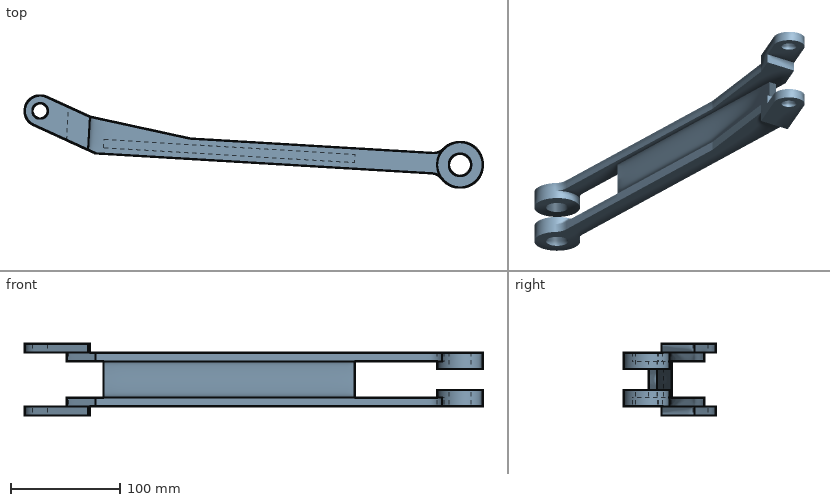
import cadquery as cq
import math

OVERALL_LENGTH = 419.0

ARM_TILT = 3.4
LUG_TILT = 21.2
LUG_EYE_Y = 26.5
LUG_END_X = -340.5
ARM_END_X = -360.5
TAPER_END_X = -247.7

ARM_WIDTH = 19.0
LUG_WIDTH = 28.5
LUG_HOLE_DIAMETER = 14.0
RING_DIAMETER = 42.0
RING_HOLE_DIAMETER = 20.0
RING_BLEND_RADIUS = 13.0

WEB_START_X = -326.5
WEB_END_X = -96.5
WEB_THICKNESS = 7.5

WEB_HEIGHT = 33.0
ARM_THICKNESS = 8.0
LUG_THICKNESS = 8.5
RING_THICKNESS = 15.0
ARM_INNER_Z = WEB_HEIGHT / 2
ARM_OUTER_Z = ARM_INNER_Z + ARM_THICKNESS

ARM_HALF = ARM_WIDTH / 2
LUG_RADIUS = LUG_WIDTH / 2
RING_RADIUS = RING_DIAMETER / 2
LUG_ANGLE = math.radians(LUG_TILT)
ARM_ANGLE = math.radians(ARM_TILT)
EYE_SPAN_X = OVERALL_LENGTH - RING_RADIUS - LUG_RADIUS
LUG_EYE_X = -(EYE_SPAN_X + LUG_EYE_Y * math.sin(ARM_ANGLE)) / math.cos(ARM_ANGLE)


def lug_side_y(x, side):
    """Y of the upper (side = 1) or lower (side = -1) straight edge of the lug."""
    axis_y = LUG_EYE_Y - (x - LUG_EYE_X) * math.tan(LUG_ANGLE)
    return axis_y + side * LUG_RADIUS / math.cos(LUG_ANGLE)


def lug_rim(angle):
    """Point on the rounded lug end, at an angle in radians from the X axis."""
    return (LUG_EYE_X + LUG_RADIUS * math.cos(angle), LUG_EYE_Y + LUG_RADIUS * math.sin(angle))


def place(body, side):
    """Tilt a body of the upper half and mirror it below Z = 0 when side is -1."""
    tilted = body.rotate((0, 0, 0), (0, 0, 1), -ARM_TILT)
    if side < 0:
        tilted = tilted.mirror("XY")
    return tilted.val()


def make_lug():
    """Plate with a round, drilled end, lying on the outer face of an arm."""
    upper_tangent = math.pi / 2 - LUG_ANGLE
    plate = (
        cq.Workplane("XY", origin=(0, 0, ARM_OUTER_Z))
        .moveTo(LUG_END_X, lug_side_y(LUG_END_X, 1))
        .lineTo(*lug_rim(upper_tangent))
        .threePointArc(lug_rim(math.pi - LUG_ANGLE), lug_rim(upper_tangent + math.pi))
        .lineTo(LUG_END_X, lug_side_y(LUG_END_X, -1))
        .close()
        .extrude(LUG_THICKNESS)
    )
    hole = (
        cq.Workplane("XY", origin=(LUG_EYE_X, LUG_EYE_Y, ARM_OUTER_Z))
        .circle(LUG_HOLE_DIAMETER / 2)
        .extrude(LUG_THICKNESS)
    )
    return plate.cut(hole)


def make_arm():
    """Bent, tapering bar whose end blends into the rim of the ring."""
    blend_y = ARM_HALF + RING_BLEND_RADIUS
    center_distance = RING_RADIUS + RING_BLEND_RADIUS
    blend_x = -math.sqrt(center_distance**2 - blend_y**2)
    rim_x = blend_x * RING_RADIUS / center_distance
    rim_y = blend_y * RING_RADIUS / center_distance
    rim_direction = math.atan2(-blend_y, -blend_x)
    middle_angle = (rim_direction - math.pi / 2) / 2
    middle_x = blend_x + RING_BLEND_RADIUS * math.cos(middle_angle)
    middle_y = blend_y + RING_BLEND_RADIUS * math.sin(middle_angle)
    lug_drop = lug_side_y(LUG_EYE_X, -1) + ARM_HALF
    bend_x = LUG_EYE_X + lug_drop / math.tan(LUG_ANGLE)
    return (
        cq.Workplane("XY", origin=(0, 0, ARM_INNER_Z))
        .moveTo(ARM_END_X, lug_side_y(ARM_END_X, -1))
        .lineTo(ARM_END_X, lug_side_y(ARM_END_X, 1))
        .lineTo(LUG_END_X, lug_side_y(LUG_END_X, 1))
        .lineTo(TAPER_END_X, ARM_HALF)
        .lineTo(blend_x, ARM_HALF)
        .threePointArc((middle_x, middle_y), (rim_x, rim_y))
        .threePointArc((-RING_RADIUS, 0), (rim_x, -rim_y))
        .threePointArc((middle_x, -middle_y), (blend_x, -ARM_HALF))
        .lineTo(bend_x, -ARM_HALF)
        .close()
        .extrude(ARM_THICKNESS)
    )


def make_ring():
    """Thick ring, flush with the outer face of its arm."""
    return (
        cq.Workplane("XY", origin=(0, 0, ARM_OUTER_Z - RING_THICKNESS))
        .circle(RING_RADIUS)
        .circle(RING_HOLE_DIAMETER / 2)
        .extrude(RING_THICKNESS)
    )


def make_web():
    """Upright plate joining the two arms along their axis."""
    length = WEB_END_X - WEB_START_X
    return (
        cq.Workplane("XY")
        .box(length, WEB_THICKNESS, WEB_HEIGHT)
        .translate((WEB_START_X + length / 2, 0, 0))
    )


web = place(make_web(), 1)
lugs = []
arms = []
rings = []
for side in (1, -1):
    lugs.append(place(make_lug(), side))
    arms.append(place(make_arm(), side))
    rings.append(place(make_ring(), side))

result = cq.Compound.makeCompound([web, *lugs, *arms, *rings])